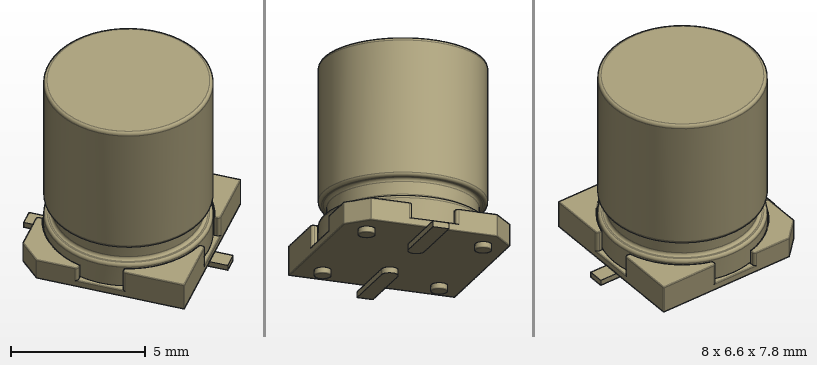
import cadquery as cq

overall_length = 8
total_height = 7.8

base_width = 6.6
base_bottom = 0.23
floor_top = 0.53
low_block_top = 1.11
high_block_top = 1.4
corner_chamfer = 0.8
edge_round = 0.03

notch_width = 1.74
notch_mouth_round = 0.11

can_diameter = 6.3
neck_diameter = 5.67
neck_bottom = 1.54
neck_height = 0.76
can_round = 0.13
socket_diameter = 6.37

foot_diameter = 0.63
foot_offset = 2.31
foot_round = 0.02
lead_width = foot_diameter
lead_gap = 2.19


def make_slab(top):
    """Square slab of the base outline with both -X corners chamfered and upright edges rounded."""
    return (
        cq.Workplane("XY")
        .workplane(offset=base_bottom)
        .rect(base_width, base_width)
        .extrude(top - base_bottom)
        .edges("|Z and <X")
        .chamfer(corner_chamfer)
        .edges("|Z")
        .fillet(edge_round)
    )


def make_corner_block(x_side, y_side, top):
    """One corner of the base, hollowed around the can above the floor."""
    half_width = base_width / 2
    half_notch = notch_width / 2
    size = half_width - half_notch
    center = half_notch + size / 2
    quarter = (
        cq.Workplane("XY")
        .center(x_side * center, y_side * center)
        .rect(size, size)
        .extrude(top)
    )
    block = make_slab(top).intersect(quarter)
    middle = (base_bottom + top) / 2
    for x, y in ((half_notch, half_width), (half_width, half_notch)):
        mouth_edge = cq.selectors.NearestToPointSelector((x_side * x, y_side * y, middle))
        block = block.edges("|Z").edges(mouth_edge).fillet(notch_mouth_round)
    block = block.faces("<Z").edges().fillet(edge_round)
    socket = (
        cq.Workplane("XY")
        .workplane(offset=floor_top)
        .circle(socket_diameter / 2)
        .extrude(top)
    )
    return block.cut(socket).faces(">Z").edges().fillet(edge_round)


def make_base():
    """Floor plate with low blocks on its -X corners and high blocks on its +X corners."""
    base = make_slab(floor_top).faces("<Z or >Z").edges().fillet(edge_round)
    for x_side, top in ((-1, low_block_top), (1, high_block_top)):
        for y_side in (-1, 1):
            base = base.union(make_corner_block(x_side, y_side, top))
    return base


def make_can():
    """Cylindrical can with a rolled neck near its lower end."""
    can = (
        cq.Workplane("XY")
        .workplane(offset=base_bottom)
        .circle(can_diameter / 2)
        .extrude(total_height - base_bottom)
    )
    groove = (
        cq.Workplane("XY")
        .workplane(offset=neck_bottom)
        .circle(can_diameter / 2)
        .circle(neck_diameter / 2)
        .extrude(neck_height)
    )
    can = can.cut(groove)
    return can.edges("%CIRCLE").edges("not <Z").fillet(can_round)


def make_lead(side):
    """Flat lead that leaves one side of the base and ends in a full round inside."""
    round_center = (lead_gap + lead_width) / 2
    length = overall_length / 2 - round_center
    strip = cq.Workplane("XY").center(side * (round_center + length / 2), 0).rect(length, lead_width)
    inner_end = cq.Workplane("XY").center(side * round_center, 0).circle(lead_width / 2)
    return strip.extrude(base_bottom).union(inner_end.extrude(base_bottom))


def make_feet():
    """Four round feet, one under each corner of the base."""
    return (
        cq.Workplane("XY")
        .rect(2 * foot_offset, 2 * foot_offset, forConstruction=True)
        .vertices()
        .circle(foot_diameter / 2)
        .extrude(base_bottom)
        .faces("<Z")
        .edges()
        .fillet(foot_round)
    )


result = make_base().union(make_can()).union(make_feet())
for lead_side in (-1, 1):
    result = result.union(make_lead(lead_side))